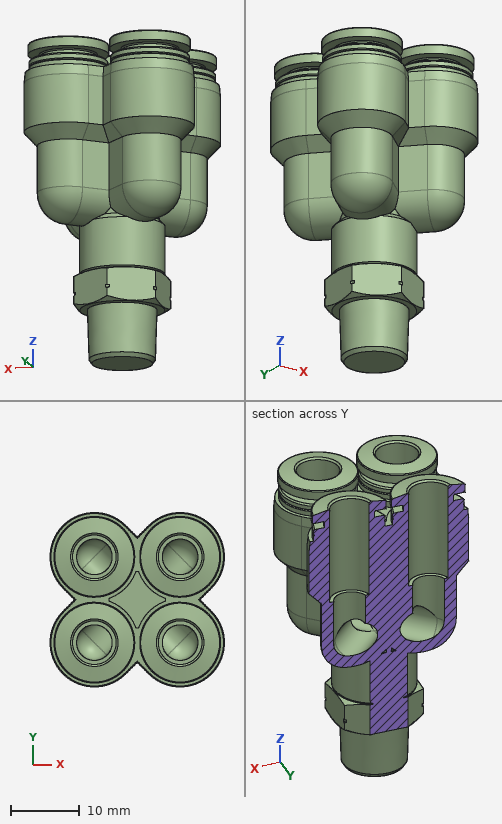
import cadquery as cq
import math

PORT_SPACING = 12.5
PORT_OFFSET = PORT_SPACING / 2
ARM_REACH = PORT_OFFSET * math.sqrt(2)
ARM_ANGLES = (45, 135)

BODY_RADIUS = 6.45
LIP_RADIUS = 6.32
BODY_TOP = 42.5
LIP_BOTTOM = 40.95
BEVEL_TOP = 33.7
BEVEL_BOTTOM = 31.62
POCKET_PORT_RADIUS = 6.4
POCKET_TIP_REACH = 4.15
POCKET_TIP_FILLET = 0.165
POCKET_DEPTH = 0.95

ARM_RADIUS = 4.55
ARM_AXIS_Z = 24.55

COLLAR_RADIUS = 5.75
COLLAR_TOP = 44.35
COLLAR_CHAMFER = 0.25
COLLAR_GROOVE_Z = 43.4
COLLAR_GROOVE_WIDTH = 0.3
COLLAR_GROOVE_DEPTH = 0.15
SLEEVE_RADIUS = 4.05
RIM_RADIUS = 5.9
RIM_BOTTOM = 45.3
RIM_EDGE_Z = 46.78
RIM_CHAMFER = 0.15
SLEEVE_FLARE = 0.2
PART_TOP = 47.2
BORE_DIAMETER = 6.35
BORE_RADIUS = BORE_DIAMETER / 2
BORE_CHAMFER = 0.3
TUBE_STOP_Z = BEVEL_BOTTOM
PASSAGE_RADIUS = 2.6

NECK_DIAMETER = 12.5
NECK_RADIUS = NECK_DIAMETER / 2
NECK_BOTTOM = 13.3
NECK_CHAMFER_BOTTOM = 20.55
NECK_CHAMFER = 0.75
NECK_FOOT_RADIUS = 5.95

HEX_FLATS = 12.55
HEX_TURN = 30
HEX_CORNER_RADIUS = HEX_FLATS / math.sqrt(3)
HEX_FACE_RADIUS = 6.2
HEX_BOTTOM = 8.0
HEX_TOP = 13.07
HEX_TOP_CHAMFER = 0.4
HEX_BOTTOM_CHAMFER = 0.6
NICK_RADIUS = 7.1
NICK_BOTTOM = 9.7
NICK_TOP = 10.25

THREAD_TOP_RADIUS = 5.1
THREAD_END_RADIUS = 4.85
THREAD_TIP_RADIUS = 4.45
THREAD_CHAMFER = 0.6


def revolved(profile):
    """Solid of revolution about Z from (radius, z) points."""
    return cq.Workplane("XZ").polyline(profile).close().revolve(360, (0, 0), (0, 1))


def crossed_arms(lower_radius, lower_z, upper_radius, upper_z):
    """Two crossed round-ended arms whose half-width changes evenly with height."""
    arms = cq.Workplane("XY")
    for angle in ARM_ANGLES:
        arm = (
            cq.Workplane("YZ").polyline([
                (-lower_radius, lower_z), (lower_radius, lower_z),
                (upper_radius, upper_z), (-upper_radius, upper_z),
            ]).close().extrude(ARM_REACH, both=True)
        )
        end = revolved([(0, lower_z), (lower_radius, lower_z), (upper_radius, upper_z), (0, upper_z)])
        for side in (-1, 1):
            arm = arm.union(end.translate((side * ARM_REACH, 0, 0)))
        arms = arms.union(arm.rotate((0, 0, 0), (0, 0, 1), angle))
    return arms


def crossed_rods(radius):
    """Two crossed horizontal rods with ball ends, at the arm axis height."""
    rods = cq.Workplane("XY")
    for angle in ARM_ANGLES:
        rod = cq.Workplane("YZ").circle(radius).extrude(ARM_REACH, both=True)
        for side in (-1, 1):
            rod = rod.union(cq.Workplane("XY").sphere(radius).translate((side * ARM_REACH, 0, 0)))
        rods = rods.union(rod.rotate((0, 0, 0), (0, 0, 1), angle))
    return rods.translate((0, 0, ARM_AXIS_Z))


def at_ports(solid):
    """Copies of a solid on the four port axes."""
    copies = cq.Workplane("XY")
    for x in (-PORT_OFFSET, PORT_OFFSET):
        for y in (-PORT_OFFSET, PORT_OFFSET):
            copies = copies.union(solid.translate((x, y, 0)))
    return copies


def centre_pocket():
    """Four-pointed pocket between the ports, with blunt tips."""
    floor = BODY_TOP - POCKET_DEPTH
    blank = (
        cq.Workplane("XY").workplane(offset=floor)
        .rect(2 * POCKET_TIP_REACH, 2 * POCKET_TIP_REACH).extrude(POCKET_DEPTH)
    )
    port_wall = cq.Workplane("XY").workplane(offset=floor).circle(POCKET_PORT_RADIUS).extrude(POCKET_DEPTH)
    return blank.cut(at_ports(port_wall)).edges("|Z").fillet(POCKET_TIP_FILLET)


def port_outside():
    """Grooved collar and flanged release sleeve of one port, around the Z axis."""
    groove_half = COLLAR_GROOVE_WIDTH / 2
    groove_radius = COLLAR_RADIUS - COLLAR_GROOVE_DEPTH
    return revolved([
        (0, BEVEL_TOP),
        (COLLAR_RADIUS, BEVEL_TOP),
        (COLLAR_RADIUS, COLLAR_GROOVE_Z - groove_half),
        (groove_radius, COLLAR_GROOVE_Z),
        (COLLAR_RADIUS, COLLAR_GROOVE_Z + groove_half),
        (COLLAR_RADIUS, COLLAR_TOP - COLLAR_CHAMFER),
        (COLLAR_RADIUS - COLLAR_CHAMFER, COLLAR_TOP),
        (SLEEVE_RADIUS, COLLAR_TOP),
        (SLEEVE_RADIUS, RIM_BOTTOM - SLEEVE_FLARE),
        (SLEEVE_RADIUS + SLEEVE_FLARE, RIM_BOTTOM),
        (RIM_RADIUS, RIM_BOTTOM),
        (RIM_RADIUS, RIM_EDGE_Z - RIM_CHAMFER),
        (RIM_RADIUS - RIM_CHAMFER, RIM_EDGE_Z),
        (BORE_RADIUS + BORE_CHAMFER, PART_TOP),
        (0, PART_TOP),
    ])


def port_bore():
    """Tube bore of one port, stepping down to the flow passage."""
    return revolved([
        (0, ARM_AXIS_Z),
        (PASSAGE_RADIUS, ARM_AXIS_Z),
        (PASSAGE_RADIUS, TUBE_STOP_Z),
        (BORE_RADIUS, TUBE_STOP_Z),
        (BORE_RADIUS, PART_TOP - BORE_CHAMFER),
        (BORE_RADIUS + BORE_CHAMFER, PART_TOP),
        (0, PART_TOP),
    ])


def neck():
    """Round neck, narrowed at the hexagon, with a chamfered shoulder under the arms."""
    shoulder_radius = NECK_RADIUS - NECK_CHAMFER
    return revolved([
        (0, HEX_BOTTOM),
        (NECK_FOOT_RADIUS, HEX_BOTTOM),
        (NECK_FOOT_RADIUS, HEX_TOP),
        (NECK_RADIUS, NECK_BOTTOM),
        (NECK_RADIUS, NECK_CHAMFER_BOTTOM),
        (shoulder_radius, NECK_CHAMFER_BOTTOM + NECK_CHAMFER),
        (shoulder_radius, ARM_AXIS_Z),
        (0, ARM_AXIS_Z),
    ])


def hexagon():
    """Hexagon with two corners on Y, chamfered end faces and a nick across each corner."""
    blank = (
        cq.Workplane("XY").workplane(offset=HEX_BOTTOM)
        .polygon(6, 2 * HEX_CORNER_RADIUS).extrude(HEX_TOP - HEX_BOTTOM)
        .rotate((0, 0, 0), (0, 0, 1), HEX_TURN)
    )
    nick_slope = HEX_CORNER_RADIUS - NICK_RADIUS
    turned = revolved([
        (0, HEX_BOTTOM),
        (HEX_FACE_RADIUS, HEX_BOTTOM),
        (HEX_CORNER_RADIUS, HEX_BOTTOM + HEX_BOTTOM_CHAMFER),
        (HEX_CORNER_RADIUS, NICK_BOTTOM),
        (NICK_RADIUS, NICK_BOTTOM + nick_slope),
        (NICK_RADIUS, NICK_TOP),
        (HEX_CORNER_RADIUS, NICK_TOP),
        (HEX_CORNER_RADIUS, HEX_TOP - HEX_TOP_CHAMFER),
        (HEX_FACE_RADIUS, HEX_TOP),
        (0, HEX_TOP),
    ])
    return blank.intersect(turned)


def thread():
    """Tapered threaded end with plain flanks and a chamfered tip."""
    return revolved([
        (0, 0),
        (THREAD_TIP_RADIUS, 0),
        (THREAD_END_RADIUS, THREAD_CHAMFER),
        (THREAD_TOP_RADIUS, HEX_BOTTOM),
        (0, HEX_BOTTOM),
    ])


body = (
    crossed_arms(BODY_RADIUS, LIP_BOTTOM, LIP_RADIUS, BODY_TOP)
    .union(crossed_arms(BODY_RADIUS, BEVEL_TOP, BODY_RADIUS, LIP_BOTTOM))
    .union(crossed_arms(ARM_RADIUS, BEVEL_BOTTOM, BODY_RADIUS, BEVEL_TOP))
    .union(crossed_arms(ARM_RADIUS, ARM_AXIS_Z, ARM_RADIUS, BEVEL_BOTTOM))
    .union(crossed_rods(ARM_RADIUS))
)

result = (
    body
    .union(neck())
    .union(hexagon())
    .union(thread())
    .cut(centre_pocket())
    .union(at_ports(port_outside()))
    .cut(at_ports(port_bore()))
    .cut(crossed_rods(PASSAGE_RADIUS))
)